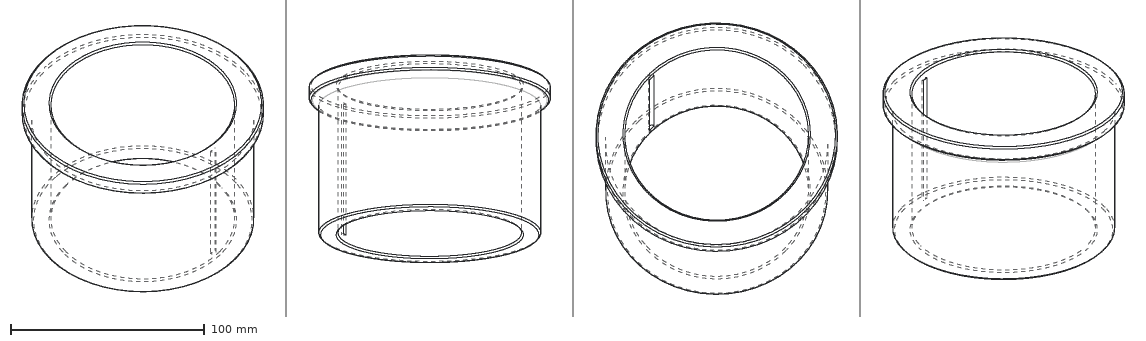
import cadquery as cq

flange_diameter = 125.0
body_diameter = 115.0
bore_diameter = 95.0
height = 80.0
flange_thickness = 8.0
edge_chamfer = 1.0
neck_fillet = 3.2

groove_diameter = 3.5
groove_end_margin = 5.0

flange_radius = flange_diameter / 2
body_radius = body_diameter / 2
bore_radius = bore_diameter / 2
flange_bottom = height - flange_thickness


def make_bushing():
    """Revolve the wall section, with a concave fillet under the flange."""
    section = (
        cq.Workplane("XZ")
        .moveTo(bore_radius + edge_chamfer, 0)
        .lineTo(body_radius - edge_chamfer, 0)
        .lineTo(body_radius, edge_chamfer)
        .lineTo(body_radius, flange_bottom - neck_fillet)
        .radiusArc((body_radius + neck_fillet, flange_bottom), neck_fillet)
        .lineTo(flange_radius - edge_chamfer, flange_bottom)
        .lineTo(flange_radius, flange_bottom + edge_chamfer)
        .lineTo(flange_radius, height - edge_chamfer)
        .lineTo(flange_radius - edge_chamfer, height)
        .lineTo(bore_radius + edge_chamfer, height)
        .lineTo(bore_radius, height - edge_chamfer)
        .lineTo(bore_radius, edge_chamfer)
        .close()
    )
    return section.revolve(360, (0, 0, 0), (0, 1, 0))


def make_groove_cutter():
    """Rod centred on the bore surface, stopping short of both ends."""
    return (
        cq.Workplane("XY", origin=(bore_radius, 0, groove_end_margin))
        .circle(groove_diameter / 2)
        .extrude(height - 2 * groove_end_margin)
    )


result = make_bushing().cut(make_groove_cutter())